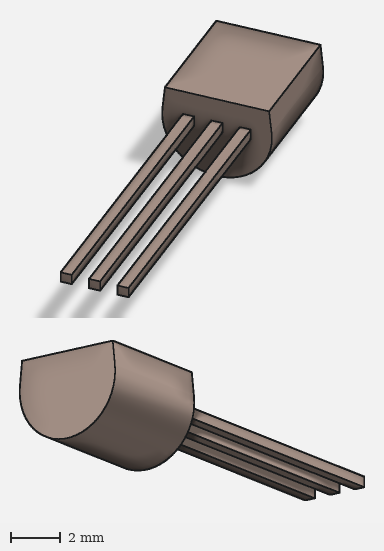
import cadquery as cq
import math

total_length = 18.03
body_width = 4.81
body_height = 3.7
body_length = 5.34

flank_draft = math.radians(6)
body_radius = body_width / 2
flat_height = body_height - body_radius

lead_count = 3
lead_pitch = 1.25
lead_width = 0.49
lead_height = 0.45
lead_length = total_length - body_length
lead_drop = 0.02


def make_body():
    """D-shaped prism from Y = 0 to Y = body_length."""
    tangent_x = body_radius * math.cos(flank_draft)
    tangent_z = body_radius * math.sin(flank_draft)
    top_x = tangent_x - (flat_height - tangent_z) * math.tan(flank_draft)
    return (
        cq.Workplane("XZ")
        .moveTo(-top_x, flat_height)
        .lineTo(-tangent_x, tangent_z)
        .threePointArc((0, -body_radius), (tangent_x, tangent_z))
        .lineTo(top_x, flat_height)
        .close()
        .extrude(-body_length)
    )


def make_lead(x):
    """Straight lead centred on x, running in -Y from the body's front face."""
    return (
        cq.Workplane("XZ")
        .center(x, -lead_drop)
        .rect(lead_width, lead_height)
        .extrude(lead_length)
    )


body = make_body()

leads = []
for index in range(lead_count):
    lead_x = (index - (lead_count - 1) / 2) * lead_pitch
    leads.append(make_lead(lead_x).val())

result = cq.Compound.makeCompound([body.val(), *leads])